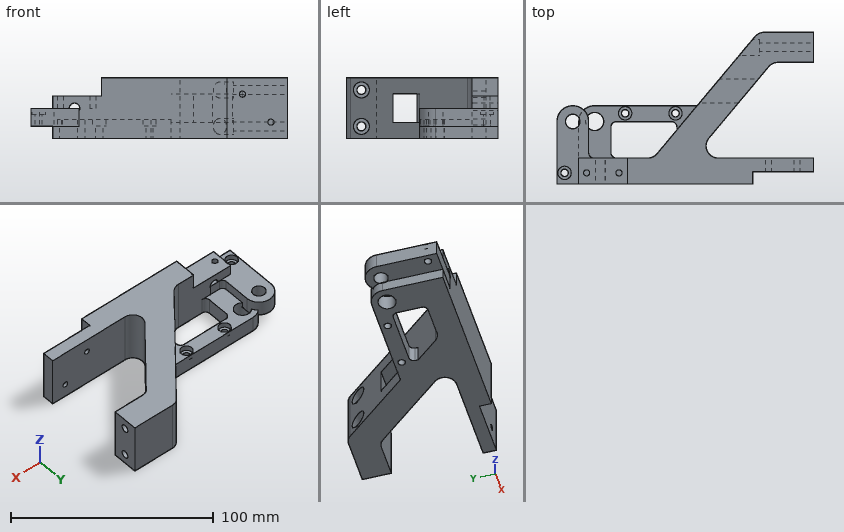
import cadquery as cq
import math

LENGTH = 126.7
DEPTH = 75.0
HEIGHT = 30.0
EPS = 1.3

HOUSING_LEFT = 10.8
BASE_DEPTH = 12.9
STEP_RIGHT = 34.8
STEP_TOP = 21.0
JAW_LEFT = 96.7
JAW_FRONT = 6.1

ARM_ANGLE = 50.1
ARM_RISE = math.tan(math.radians(ARM_ANGLE))
ARM_OUTER_FOOT = 47.6
ARM_INNER_FOOT = 66.9
ARM_RADIUS = 6.0
REAR_JAW_FRONT = 60.0

LINK_WIDTH = 15.7
LINK_RADIUS = LINK_WIDTH / 2
LINK_BOTTOM = 6.1
LINK_TOP = 15.0
FOOT_RIGHT = 23.8
FOOT_FILLET = 2.4
PIVOT_Y = 30.9
LINK_BACK = PIVOT_Y + LINK_RADIUS
LINK_BORE_RADIUS = 3.5
LINK_SCREW = (3.8, 5.6)

PLATE_TOP = 9.4
PLATE_BORE_X = HOUSING_LEFT + LINK_RADIUS
PLATE_BORE_RADIUS = 4.4
WINDOW_LEFT = 26.7
WINDOW_RIGHT = 59.2
WINDOW_BACK = 30.8
WINDOW_RADIUS = 2.5
PLATE_SCREWS = [(33.7, 35.0), (58.5, 35.0)]

SCREW_RADIUS = 1.8
SCREW_HEAD_RADIUS = 3.3
SCREW_HEAD_DEPTH = 3.0

PIN_RADIUS = 1.5
STEP_PINS = [(14.7, 5.6), (30.7, 5.6)]
STEP_PIN_DEPTH = STEP_TOP - LINK_TOP
JAW_PINS = [(104.4, 21.9), (118.5, 8.1)]
CROSS_HOLE_X = 21.5
CROSS_HOLE_RADIUS = 2.5

BOLT_Y = (REAR_JAW_FRONT + DEPTH) / 2
BOLT_SPACING = 18.0
BOLT_RADIUS = 2.2
BOLT_HEAD_RADIUS = 3.9
BOLT_HEAD_FLOOR = 100.1

OPENING_FRONT = 40.2
OPENING_BACK = 51.8
OPENING_EDGE_RADIUS = 3.5
OPENING_BOTTOM = 8.0
OPENING_TOP = 22.0


def cylinder_z(x, y, bottom, top, radius):
    return cq.Workplane("XY", origin=(x, y, bottom)).circle(radius).extrude(top - bottom)


def cylinder_y(x, z, front, back, radius):
    return cq.Workplane("XZ", origin=(x, front, z)).circle(radius).extrude(front - back)


def cylinder_x(y, z, left, right, radius):
    return cq.Workplane("YZ", origin=(left, y, z)).circle(radius).extrude(right - left)


def box(left, right, front, back, bottom, top):
    size = (right - left, back - front, top - bottom)
    return cq.Workplane("XY").box(*size, centered=False).translate((left, front, bottom))


def screw_hole(x, y, top):
    """Through hole with a counterbore sunk from the given top height."""
    shank = cylinder_z(x, y, -EPS, top + EPS, SCREW_RADIUS)
    head = cylinder_z(x, y, top - SCREW_HEAD_DEPTH, top, SCREW_HEAD_RADIUS)
    return shank.union(head)


def cross_hole():
    """Hole through the housing base, just above the link foot."""
    return cylinder_y(CROSS_HOLE_X, LINK_TOP, 0, BASE_DEPTH, CROSS_HOLE_RADIUS)


def slope_x(foot, y):
    return foot + (y - BASE_DEPTH) / ARM_RISE


def link_blank():
    """L-shaped link with a round pivot end and a filleted foot, without holes."""
    return (
        cq.Workplane("XY", origin=(0, 0, LINK_BOTTOM))
        .moveTo(0, 0)
        .lineTo(FOOT_RIGHT, 0)
        .lineTo(FOOT_RIGHT, BASE_DEPTH)
        .lineTo(LINK_WIDTH + FOOT_FILLET, BASE_DEPTH)
        .radiusArc((LINK_WIDTH, BASE_DEPTH + FOOT_FILLET), FOOT_FILLET)
        .lineTo(LINK_WIDTH, PIVOT_Y)
        .threePointArc((LINK_RADIUS, LINK_BACK), (0, PIVOT_Y))
        .close()
        .extrude(LINK_TOP - LINK_BOTTOM)
    )


def make_link():
    pivot_bore = cylinder_z(LINK_RADIUS, PIVOT_Y, LINK_BOTTOM, LINK_TOP, LINK_BORE_RADIUS)
    return link_blank().cut(pivot_bore).cut(screw_hole(*LINK_SCREW, LINK_TOP))


def main_profile():
    """Base, diagonal arm and both jaws as one full-height extrusion."""
    outline = [
        (HOUSING_LEFT, 0),
        (JAW_LEFT, 0),
        (JAW_LEFT, JAW_FRONT),
        (LENGTH, JAW_FRONT),
        (LENGTH, BASE_DEPTH),
        (ARM_INNER_FOOT, BASE_DEPTH),
        (slope_x(ARM_INNER_FOOT, REAR_JAW_FRONT), REAR_JAW_FRONT),
        (LENGTH, REAR_JAW_FRONT),
        (LENGTH, DEPTH),
        (slope_x(ARM_OUTER_FOOT, DEPTH), DEPTH),
        (ARM_OUTER_FOOT, BASE_DEPTH),
        (HOUSING_LEFT, BASE_DEPTH),
    ]
    bends = [outline[i] for i in (5, 6, 9, 10)]
    body = cq.Workplane("XY").polyline(outline).close().extrude(HEIGHT)
    for x, y in bends:
        edge = cq.selectors.NearestToPointSelector((x, y, HEIGHT / 2))
        body = body.edges("|Z").edges(edge).fillet(ARM_RADIUS)
    return body


def side_plate():
    """Plate between the base and the arm, with a rounded end and a window."""
    plate = (
        cq.Workplane("XY")
        .moveTo(HOUSING_LEFT, 0)
        .lineTo(slope_x(ARM_OUTER_FOOT, 0), 0)
        .lineTo(slope_x(ARM_OUTER_FOOT, LINK_BACK) + EPS, LINK_BACK)
        .lineTo(PLATE_BORE_X, LINK_BACK)
        .radiusArc((HOUSING_LEFT, PIVOT_Y), -LINK_RADIUS)
        .close()
        .extrude(PLATE_TOP)
    )
    window = box(WINDOW_LEFT, WINDOW_RIGHT, BASE_DEPTH, WINDOW_BACK, 0, PLATE_TOP)
    plate = plate.cut(window.edges("|Z").fillet(WINDOW_RADIUS))
    return plate.cut(cylinder_z(PLATE_BORE_X, PIVOT_Y, 0, PLATE_TOP, PLATE_BORE_RADIUS))


def cut_arm_opening(body):
    """Opening along X through the arm, with its front entry edge rounded."""
    opening = box(ARM_OUTER_FOOT, LENGTH, OPENING_FRONT, OPENING_BACK, OPENING_BOTTOM, OPENING_TOP)
    entry_x = slope_x(ARM_OUTER_FOOT, OPENING_FRONT)
    entry_z = (OPENING_BOTTOM + OPENING_TOP) / 2
    entry_edge = cq.selectors.NearestToPointSelector((entry_x, OPENING_FRONT, entry_z))
    return body.cut(opening).edges("|Z").edges(entry_edge).fillet(OPENING_EDGE_RADIUS)


def jaw_bolt_hole(z):
    """Hole along the rear jaw with a counterbore entering from the slope."""
    shank = cylinder_x(BOLT_Y, z, ARM_OUTER_FOOT, LENGTH + EPS, BOLT_RADIUS)
    head = cylinder_x(BOLT_Y, z, ARM_OUTER_FOOT, BOLT_HEAD_FLOOR, BOLT_HEAD_RADIUS)
    return shank.union(head)


def make_housing():
    body = cut_arm_opening(main_profile()).union(side_plate())
    body = body.cut(box(0, STEP_RIGHT, -EPS, BASE_DEPTH, STEP_TOP, HEIGHT + EPS))
    body = body.cut(cross_hole())
    for x, y in PLATE_SCREWS:
        body = body.cut(screw_hole(x, y, PLATE_TOP))
    for x, y in STEP_PINS:
        body = body.cut(cylinder_z(x, y, STEP_TOP - STEP_PIN_DEPTH, STEP_TOP, PIN_RADIUS))
    for x, z in JAW_PINS:
        body = body.cut(cylinder_y(x, z, JAW_FRONT, BASE_DEPTH, PIN_RADIUS))
    for side in (-1, 1):
        body = body.cut(jaw_bolt_hole(HEIGHT / 2 + side * BOLT_SPACING / 2))
    return body.cut(link_blank())


housing = make_housing()
link = make_link()
result = cq.Compound.makeCompound([housing.val(), link.val()])